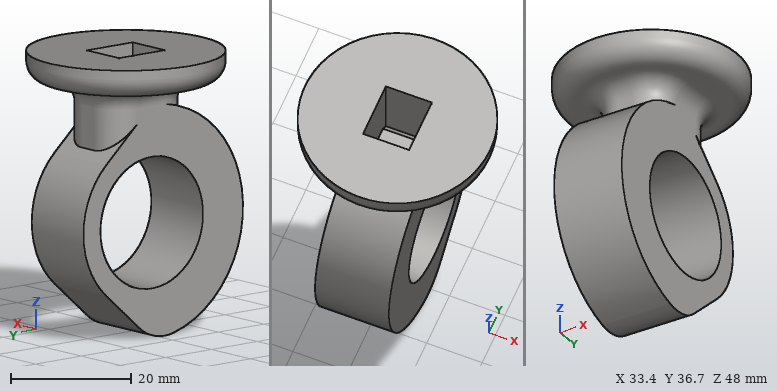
import cadquery as cq
import math

total_height = 47.95
top_height = 28.3

ring_width = 13.35
bore_radius = 11.22
thin_radius = 14.95
thick_radius = 20.0
tip_radius = 8.4
ring_bottom = top_height - total_height

disc_diameter = 33.35
disc_radius = disc_diameter / 2
disc_thickness = 5.0
disc_rounding = 3.35
disc_bottom = top_height - disc_thickness

neck_length = disc_radius
neck_corner_radius = 5.0
neck_flare = 3.35
neck_flat_half = neck_length / 2 - neck_corner_radius

pocket_width = 8.3
pocket_length = 10.03
ramp_run = 1.3

tip_offset = thick_radius - tip_radius
tip_angle = math.asin((-ring_bottom - tip_radius) / tip_offset)
flat_angle = math.pi - tip_angle - math.acos((thin_radius - tip_radius) / tip_offset)


def polar(radius, angle):
    return (radius * math.cos(angle), radius * math.sin(angle))


def upper_flat_z(y):
    return (thin_radius - y * math.cos(flat_angle)) / math.sin(flat_angle)


def make_ring():
    tip_y, tip_z = polar(tip_offset, math.pi + tip_angle)
    flat_y, flat_z = polar(tip_radius, -flat_angle)
    thin_upper = polar(thin_radius, flat_angle)
    thin_lower = polar(thin_radius, -flat_angle)
    thick_lower = polar(thick_radius, math.pi + tip_angle)
    thick_upper = (-neck_flat_half, math.sqrt(thick_radius**2 - neck_flat_half**2))
    flat_top_z = upper_flat_z(neck_flat_half)
    return (
        cq.Workplane("YZ")
        .moveTo(*thick_upper)
        .threePointArc((-thick_radius, 0), thick_lower)
        .threePointArc((tip_y, ring_bottom), (tip_y + flat_y, tip_z + flat_z))
        .lineTo(*thin_lower)
        .threePointArc((thin_radius, 0), thin_upper)
        .lineTo(neck_flat_half, flat_top_z)
        .lineTo(neck_flat_half, thick_upper[1])
        .close()
        .extrude(ring_width / 2, both=True)
    )


def make_head():
    disc = (
        cq.Workplane("XY", origin=(0, 0, disc_bottom))
        .circle(disc_radius)
        .extrude(disc_thickness)
        .faces("<Z")
        .edges()
        .fillet(disc_rounding)
    )
    neck = (
        cq.Workplane("XY", origin=(0, 0, bore_radius))
        .rect(ring_width, neck_length)
        .extrude(disc_bottom - bore_radius)
        .edges("|Z")
        .fillet(neck_corner_radius)
    )
    head = neck.union(disc)
    underside = head.faces(cq.selectors.NearestToPointSelector((0, 0, disc_bottom))).val()
    neck_joint = underside.innerWires()[0].Edges()
    return head.newObject(neck_joint).fillet(neck_flare)


def make_pocket():
    half_length = pocket_length / 2
    ramp_start = half_length - ramp_run
    floor_z = upper_flat_z(ramp_start)
    return (
        cq.Workplane("YZ")
        .moveTo(-half_length, top_height)
        .lineTo(-half_length, floor_z)
        .lineTo(ramp_start, floor_z)
        .lineTo(half_length, upper_flat_z(half_length))
        .lineTo(half_length, top_height)
        .close()
        .extrude(pocket_width / 2, both=True)
    )


bore = cq.Workplane("YZ").circle(bore_radius).extrude(ring_width, both=True)

result = make_ring().union(make_head()).cut(bore).cut(make_pocket())